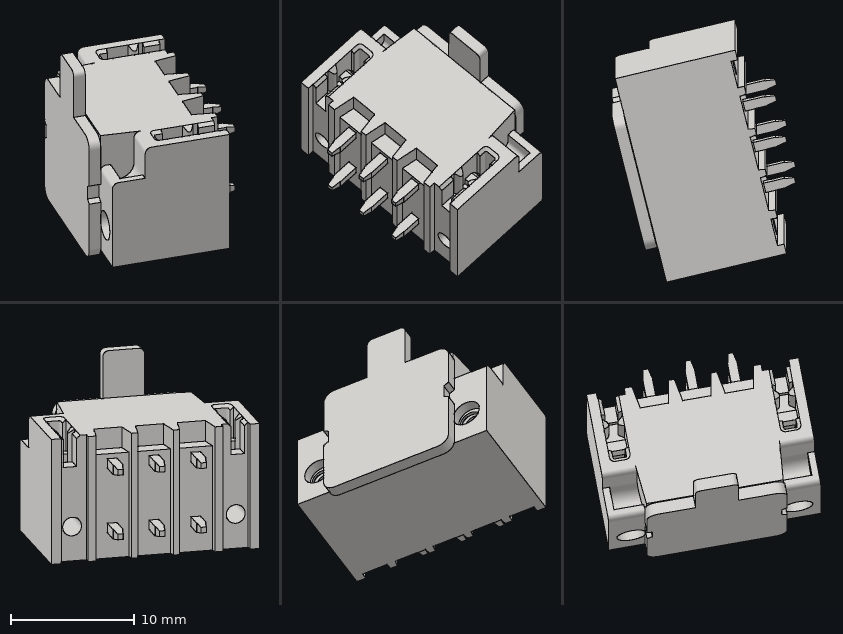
import cadquery as cq
import math

WIDTH = 17.5
DEPTH = 10.03
HEIGHT = 10.6
EDGE_RADIUS = 0.52
SIDES = (-1, 1)

STEP = 2.8
STEP_TOP = HEIGHT - STEP
CORE_HALF_FRONT = 5.64
CORE_HALF_BACK = 5.93
TROUGH_WALL = 0.6
TROUGH_FRONT = 0.85
TROUGH_FRONT_RADIUS = 0.52
TROUGH_BACK_RADIUS = STEP - TROUGH_FRONT - TROUGH_FRONT_RADIUS
TROUGH_FLOOR = STEP_TOP - TROUGH_BACK_RADIUS

REAR_FACE = 9.48
PITCH = 3.5
COLUMNS = 3
NOTCH_FRONT = 8.1
NOTCH_DEPTH = 1.75
NOTCH_HALF_FRONT = 1.17
NOTCH_HALF_REAR = 1.49
SIDE_WALL = 0.84
FINGER_OUTER = 5.65

SLOT_X = 7.04
SLOT_WIDTH = 1.7
LEAD_IN = 0.3
LEAD_IN_DEPTH = 0.26
CHANNEL_WIDTH = SLOT_WIDTH - 2 * LEAD_IN
SLOT_FRONT = 3.99
CHANNEL_FRONT = SLOT_FRONT + LEAD_IN
SLOT_CORNER = 0.42
CHANNEL_CORNER = SLOT_CORNER - LEAD_IN
REAR_CHANNEL_FLOOR = HEIGHT - 2.62
FRONT_CHANNEL_FLOOR = HEIGHT - 3.85
POCKET_FLOOR = HEIGHT - 3.15
POCKET_FRONT = 5.0
POCKET_REAR = NOTCH_FRONT
FRONT_CHANNEL_END = 5.32
LEDGE_FRONT = 5.25
LEDGE_REAR = 6.44
LEDGE_HEIGHT = 0.7
LEDGE_BEVEL = 0.38
BUMP_Y = 7.28
BUMP_WIDTH = 0.9
BUMP_REACH = 0.47
BUMP_TIP_RADIUS = 0.26
BUMP_SLOPE_DROP = 0.4

HOLE_X = 6.86
HOLE_Z = 2.92
BORE_FRONT_DIAMETER = 2.42
BORE_BACK_DIAMETER = 2.31
BORE_DEPTH = TROUGH_FRONT
HOLE_DIAMETER = 1.58
HOLE_MOUTH_DIAMETER = 2.0
NUT_DIAMETER = 2.8
NUT_HOLE_DIAMETER = 1.84
NUT_THICKNESS = 0.26
NUT_OFFSET = 0.07

PIN_WIDTH = 0.8
PIN_TIP_BASE = 0.74
PIN_TIP_WIDTH = 0.47
PIN_ROWS = (2.57, 8.03)
PIN_TIP_LENGTH = 0.8
PIN_EMBED = 1.75
PIN_END = 12.15
SHORT_PIN_END = 12.02

PLATE_THICKNESS = 1.0
PLATE_HALF_WIDTH = 5.78
PLATE_BOTTOM = -0.79
PLATE_TOP = 10.41
PLATE_RADIUS = 1.0
TAB_WIDTH = 3.54
TAB_TOP = 14.61
TAB_RADIUS = 0.5
NICK_Z = 5.32
NICK_DEPTH = 0.44
NICK_OUTER_HEIGHT = 1.68
NICK_INNER_HEIGHT = 1.17


def box(x_min, x_max, y_min, y_max, z_min, z_max):
    size = (x_max - x_min, y_max - y_min, z_max - z_min)
    return cq.Workplane("XY").box(*size, centered=False).translate((x_min, y_min, z_min))


def column_xs():
    return [PITCH * (i - (COLUMNS - 1) / 2) for i in range(COLUMNS)]


def shoulder_cutter():
    """Step and trough cut from the +X front corner, bounded by the tapered core."""
    corner = EDGE_RADIUS * (1 - math.sqrt(0.5))
    back_top = STEP + EDGE_RADIUS
    half = WIDTH / 2
    step = (
        cq.Workplane("YZ")
        .moveTo(0, STEP_TOP - EDGE_RADIUS)
        .threePointArc((corner, STEP_TOP - corner), (EDGE_RADIUS, STEP_TOP))
        .lineTo(STEP, STEP_TOP)
        .lineTo(STEP, HEIGHT - EDGE_RADIUS)
        .threePointArc((STEP + corner, HEIGHT - corner), (back_top, HEIGHT))
        .lineTo(0, HEIGHT)
        .close()
        .extrude(half)
    )
    trough = (
        cq.Workplane("YZ")
        .moveTo(STEP, HEIGHT)
        .lineTo(STEP, STEP_TOP)
        .tangentArcPoint((TROUGH_FRONT + TROUGH_FRONT_RADIUS, TROUGH_FLOOR), relative=False)
        .tangentArcPoint((TROUGH_FRONT, TROUGH_FLOOR + TROUGH_FRONT_RADIUS), relative=False)
        .lineTo(TROUGH_FRONT, HEIGHT)
        .close()
        .extrude(half - TROUGH_WALL)
    )
    beside_core = (
        cq.Workplane("XY")
        .polyline([(CORE_HALF_FRONT, 0), (half, 0), (half, back_top), (CORE_HALF_BACK, back_top)])
        .close()
        .extrude(HEIGHT)
    )
    return step.union(trough).intersect(beside_core)


def notch_outline(x):
    """Trapezoid between two neighbouring fingers."""
    return cq.Workplane("XY").polyline([
        (x - NOTCH_HALF_FRONT, NOTCH_FRONT),
        (x + NOTCH_HALF_FRONT, NOTCH_FRONT),
        (x + NOTCH_HALF_REAR, DEPTH),
        (x - NOTCH_HALF_REAR, DEPTH),
    ]).close()


def cut_rear(body):
    """Notches near the top and the recess behind the rear face, leaving the fingers standing."""
    half = WIDTH / 2
    behind_rear_face = box(-half, half, REAR_FACE, DEPTH, 0, HEIGHT)
    upper_part = box(-half, half, 0, DEPTH, HEIGHT - NOTCH_DEPTH, HEIGHT)
    for x in column_xs():
        notch = notch_outline(x).extrude(HEIGHT)
        body = body.cut(notch.intersect(upper_part)).cut(notch.intersect(behind_rear_face))
    for side in SIDES:
        x_min, x_max = sorted((side * FINGER_OUTER, side * (half - SIDE_WALL)))
        body = body.cut(box(x_min, x_max, REAR_FACE, DEPTH, 0, HEIGHT))
    return body


def bump():
    """Sloped-top retaining bump on the -X wall of a slot centred on X = 0."""
    wall = -SLOT_WIDTH / 2
    tip = wall + BUMP_REACH
    half = BUMP_WIDTH / 2
    arc_x = tip - BUMP_TIP_RADIUS / 2
    arc_half = BUMP_TIP_RADIUS * math.sqrt(3) / 2
    outline = (
        cq.Workplane("XY", origin=(0, BUMP_Y, POCKET_FLOOR))
        .moveTo(wall, -half)
        .lineTo(arc_x, -arc_half)
        .threePointArc((tip, 0), (arc_x, arc_half))
        .lineTo(wall, half)
        .close()
        .extrude(HEIGHT - POCKET_FLOOR)
    )
    slope = (
        cq.Workplane("XZ", origin=(0, BUMP_Y + half, 0))
        .polyline([(wall, HEIGHT), (tip, HEIGHT - BUMP_SLOPE_DROP), (tip, HEIGHT)])
        .close()
        .extrude(BUMP_WIDTH)
    )
    return outline.cut(slope)


def slot_cutter():
    """Everything removed by one top slot, centred on X = 0."""
    half = SLOT_WIDTH / 2
    channel_half = CHANNEL_WIDTH / 2
    front_channel = (
        box(-channel_half, channel_half, CHANNEL_FRONT, FRONT_CHANNEL_END, FRONT_CHANNEL_FLOOR, HEIGHT)
        .edges("|Z and <Y").fillet(CHANNEL_CORNER)
    )
    rear_channel = box(-channel_half, channel_half, POCKET_REAR, REAR_FACE, REAR_CHANNEL_FLOOR, HEIGHT)
    lead_in_length = 2 * (REAR_FACE - SLOT_FRONT)
    lead_in = (
        cq.Workplane("XY", origin=(0, SLOT_FRONT + lead_in_length / 2, HEIGHT))
        .sketch()
        .rect(SLOT_WIDTH, lead_in_length)
        .vertices("<Y").fillet(SLOT_CORNER)
        .finalize()
        .extrude(-LEAD_IN_DEPTH, taper=math.degrees(math.atan2(LEAD_IN, LEAD_IN_DEPTH)))
    )
    lead_in = lead_in.intersect(box(-half, half, 0, REAR_FACE, 0, HEIGHT))
    pocket = box(-half, half, POCKET_FRONT, POCKET_REAR, POCKET_FLOOR, HEIGHT)
    ledge = (
        box(-half, half, LEDGE_FRONT, LEDGE_REAR, POCKET_FLOOR, POCKET_FLOOR + LEDGE_HEIGHT)
        .edges("|X and >Z and <Y").chamfer(LEDGE_BEVEL)
    )
    left_bump = bump()
    pocket = pocket.cut(ledge).cut(left_bump).cut(left_bump.mirror("YZ"))
    lead_in = lead_in.cut(box(-half, half, POCKET_FRONT, POCKET_REAR, 0, HEIGHT))
    return pocket.union(front_channel).union(rear_channel).union(lead_in)


def disc(x, z, y, diameter, length):
    """Cylinder along +Y starting at y."""
    return cq.Workplane("XZ", origin=(x, y, z)).circle(diameter / 2).extrude(-length)


def cone(x, z, y, start_diameter, end_diameter, length):
    """Cone along +Y starting at y."""
    solid = cq.Solid.makeCone(
        start_diameter / 2, end_diameter / 2, length, cq.Vector(x, y, z), cq.Vector(0, 1, 0)
    )
    return cq.Workplane(solid)


def nut_blank(side):
    return disc(side * HOLE_X - NUT_OFFSET, HOLE_Z - NUT_OFFSET, BORE_DEPTH, NUT_DIAMETER, NUT_THICKNESS)


def cut_screw_hole(body, side):
    x = side * HOLE_X
    seat = BORE_DEPTH + NUT_THICKNESS
    mouth_depth = (HOLE_MOUTH_DIAMETER - HOLE_DIAMETER) / 2
    bore = cone(x, HOLE_Z, 0, BORE_FRONT_DIAMETER, BORE_BACK_DIAMETER, BORE_DEPTH)
    mouth = cone(x, HOLE_Z, seat, HOLE_MOUTH_DIAMETER, HOLE_DIAMETER, mouth_depth)
    through = disc(x, HOLE_Z, 0, HOLE_DIAMETER, DEPTH)
    return body.cut(bore).cut(mouth).cut(through).cut(nut_blank(side))


def make_pin(x, z, end):
    shank_end = end - PIN_TIP_LENGTH
    start = REAR_FACE - PIN_EMBED
    shank = cq.Workplane("XZ", origin=(x, start, z)).rect(PIN_WIDTH, PIN_WIDTH).extrude(start - shank_end)
    return (
        shank.faces(">Y").workplane(centerOption="CenterOfBoundBox")
        .rect(PIN_TIP_BASE, PIN_WIDTH)
        .workplane(offset=PIN_TIP_LENGTH)
        .rect(PIN_TIP_WIDTH, PIN_TIP_WIDTH)
        .loft(combine=True)
    )


def make_pins():
    pins = []
    for z in PIN_ROWS:
        for column, x in enumerate(column_xs()):
            pins.append(make_pin(x, z, SHORT_PIN_END if column == 0 else PIN_END))
    return pins


def make_nut(side):
    hole = disc(side * HOLE_X - NUT_OFFSET, HOLE_Z - NUT_OFFSET, BORE_DEPTH, NUT_HOLE_DIAMETER, NUT_THICKNESS)
    return nut_blank(side).cut(hole)


def make_housing(pins):
    body = box(-WIDTH / 2, WIDTH / 2, 0, DEPTH, 0, HEIGHT)
    shoulder = shoulder_cutter()
    body = body.cut(shoulder).cut(shoulder.mirror("YZ"))
    body = cut_rear(body)
    slot = slot_cutter()
    for side in SIDES:
        body = body.cut(slot.translate((side * SLOT_X, 0, 0)))
        body = cut_screw_hole(body, side)
    for pin in pins:
        body = body.cut(pin)
    return body


def make_plate():
    half = PLATE_HALF_WIDTH
    plate = (
        box(-half, half, -PLATE_THICKNESS, 0, PLATE_BOTTOM, PLATE_TOP)
        .edges("|Y").fillet(PLATE_RADIUS)
    )
    tab = (
        box(-TAB_WIDTH / 2, TAB_WIDTH / 2, -PLATE_THICKNESS, 0, NICK_Z, TAB_TOP)
        .edges("|Y and >Z").fillet(TAB_RADIUS)
    )
    nick = (
        cq.Workplane("XZ")
        .polyline([
            (half, NICK_Z - NICK_OUTER_HEIGHT / 2),
            (half - NICK_DEPTH, NICK_Z - NICK_INNER_HEIGHT / 2),
            (half - NICK_DEPTH, NICK_Z + NICK_INNER_HEIGHT / 2),
            (half, NICK_Z + NICK_OUTER_HEIGHT / 2),
        ])
        .close()
        .extrude(PLATE_THICKNESS)
    )
    return plate.union(tab).cut(nick).cut(nick.mirror("YZ"))


pins = make_pins()
nuts = [make_nut(side) for side in SIDES]
housing = make_housing(pins)
plate = make_plate()

result = cq.Compound.makeCompound(
    [housing.val(), plate.val(), *[pin.val() for pin in pins], *[nut.val() for nut in nuts]]
)